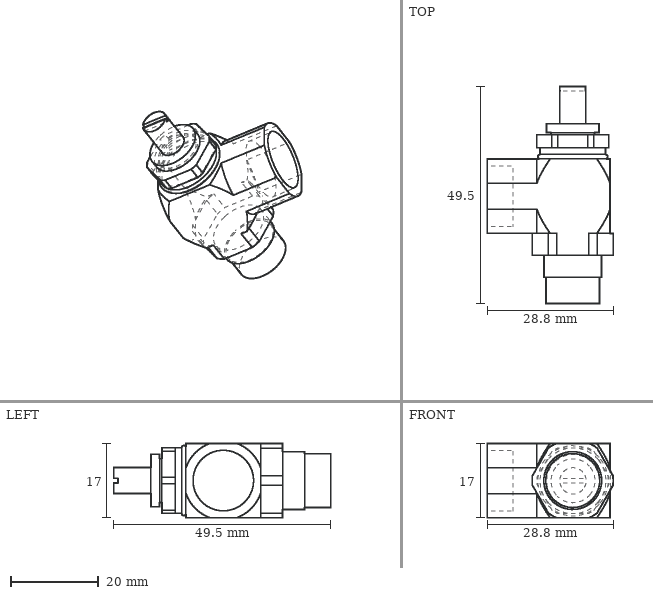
import cadquery as cq
import math


BODY_WIDTH = 17.0
HALF_WIDTH = BODY_WIDTH / 2
ARM_RADIUS = 9.0
ARM_END_X = -19.5
ARM_ROOT_X = -8.15
CORNER_RADIUS = HALF_WIDTH * math.sqrt(2)
SHOULDER = CORNER_RADIUS - ARM_RADIUS

SOCKET_RADIUS = 6.9
SOCKET_DEPTH = 5.8

FRONT_HEX_FLATS = BODY_WIDTH
FRONT_HEX_RADIUS = 9.25
FRONT_HEX_LENGTH = 5.0
FRONT_STEP_RADIUS = 6.6
FRONT_STEP_LENGTH = 5.0
FRONT_TIP_RADIUS = 6.15
FRONT_TIP_LENGTH = 6.0

RING_SECTION_RADIUS = 0.5
COLLAR_RADIUS = 7.5
COLLAR_LENGTH = 1.5
BACK_HEX_FLATS = 15.0
BACK_HEX_RADIUS = 8.25
BACK_HEX_LENGTH = 3.0
NECK_RADIUS = 5.0
NECK_LENGTH = 0.5
FLANGE_RADIUS = 6.0
FLANGE_LENGTH = 2.0
SPINDLE_RADIUS = 3.0
SPINDLE_LENGTH = 8.5
SLOT_WIDTH = 1.0
SLOT_DEPTH = 1.0


def disc(radius, start_y, length):
    """Cylinder on the Y axis, from start_y towards +Y."""
    return cq.Workplane("XZ", origin=(0, start_y, 0)).circle(radius).extrude(-length)


def hexagon(flats, corner_radius, start_y, length):
    """Hexagonal prism on the Y axis, flats facing +Z and -Z, corners turned to corner_radius."""
    sharp_diameter = flats / math.cos(math.radians(30))
    prism = (
        cq.Workplane("XZ", origin=(0, start_y, 0))
        .polygon(6, sharp_diameter)
        .extrude(-length)
    )
    return prism.intersect(disc(corner_radius, start_y, length))


def make_body():
    """Square bar trimmed by a turned envelope: round arm, conical shoulders at both body ends."""
    bar = cq.Workplane("YZ", origin=(ARM_END_X, 0, 0)).rect(BODY_WIDTH, BODY_WIDTH)
    bar = bar.extrude(HALF_WIDTH - ARM_END_X)
    clearance = 0.5
    cone_length = SHOULDER + clearance
    outer_radius = ARM_RADIUS + cone_length
    envelope = (
        cq.Workplane("XY")
        .moveTo(ARM_END_X, 0)
        .lineTo(ARM_END_X, ARM_RADIUS)
        .lineTo(ARM_ROOT_X, ARM_RADIUS)
        .lineTo(ARM_ROOT_X + cone_length, outer_radius)
        .lineTo(HALF_WIDTH - cone_length, outer_radius)
        .lineTo(HALF_WIDTH, ARM_RADIUS)
        .lineTo(HALF_WIDTH, 0)
        .close()
        .revolve(360, (0, 0, 0), (1, 0, 0))
    )
    return bar.intersect(envelope)


def make_socket():
    """Blind bore in the end of the arm."""
    return cq.Workplane("YZ", origin=(ARM_END_X, 0, 0)).circle(SOCKET_RADIUS).extrude(SOCKET_DEPTH)


def make_front_end():
    """Hexagon and stepped plain end, from the body towards -Y."""
    hex_y = -HALF_WIDTH - FRONT_HEX_LENGTH
    step_y = hex_y - FRONT_STEP_LENGTH
    tip_y = step_y - FRONT_TIP_LENGTH
    front = hexagon(FRONT_HEX_FLATS, FRONT_HEX_RADIUS, hex_y, FRONT_HEX_LENGTH)
    front = front.union(disc(FRONT_STEP_RADIUS, step_y, FRONT_STEP_LENGTH))
    return front.union(disc(FRONT_TIP_RADIUS, tip_y, FRONT_TIP_LENGTH))


def make_seal_ring():
    """Ring with a rounded rim, lying against the body."""
    ring_length = 2 * RING_SECTION_RADIUS
    rim_radius = COLLAR_RADIUS + RING_SECTION_RADIUS
    return (
        cq.Workplane("XY")
        .moveTo(0, HALF_WIDTH)
        .lineTo(COLLAR_RADIUS, HALF_WIDTH)
        .threePointArc(
            (rim_radius, HALF_WIDTH + RING_SECTION_RADIUS),
            (COLLAR_RADIUS, HALF_WIDTH + ring_length),
        )
        .lineTo(0, HALF_WIDTH + ring_length)
        .close()
        .revolve(360, (0, 0, 0), (0, 1, 0))
    )


def make_back_end():
    """Seal ring, collar, hexagon, neck, flange and slotted spindle, from the body towards +Y."""
    collar_y = HALF_WIDTH + 2 * RING_SECTION_RADIUS
    hex_y = collar_y + COLLAR_LENGTH
    neck_y = hex_y + BACK_HEX_LENGTH
    flange_y = neck_y + NECK_LENGTH
    spindle_y = flange_y + FLANGE_LENGTH
    spindle_end_y = spindle_y + SPINDLE_LENGTH

    back = make_seal_ring()
    back = back.union(disc(COLLAR_RADIUS, collar_y, COLLAR_LENGTH))
    back = back.union(hexagon(BACK_HEX_FLATS, BACK_HEX_RADIUS, hex_y, BACK_HEX_LENGTH))
    back = back.union(disc(NECK_RADIUS, neck_y, NECK_LENGTH))
    back = back.union(disc(FLANGE_RADIUS, flange_y, FLANGE_LENGTH))
    back = back.union(disc(SPINDLE_RADIUS, spindle_y, SPINDLE_LENGTH))

    slot = cq.Workplane("XY").box(2 * SPINDLE_RADIUS, 2 * SLOT_DEPTH, SLOT_WIDTH)
    return back.cut(slot.translate((0, spindle_end_y, 0)))


result = make_body().cut(make_socket()).union(make_front_end()).union(make_back_end())